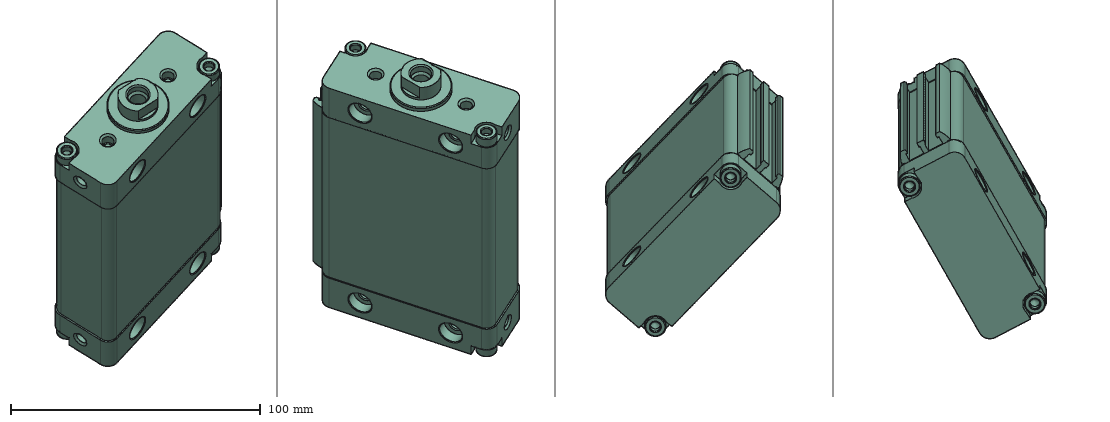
import cadquery as cq
import math


total_height = 135.0
overall_depth = 82.0
cap_height = 16.9
cap_top = 125.8
collar_height = 2.0

cap_width = 30.0
cap_depth = 76.7
corner_radius = 4.7
corner_x = cap_width / 2 - corner_radius
corner_y = cap_depth / 2 - corner_radius
collar_diameter = 25.0
collar_chamfer = 0.4

pocket_diameter = 9.7
pocket_reach = 4.6
pocket_depth = 4.9
head_height = 4.6
head_diameter = 8.5
head_rim_diameter = 7.7
head_chamfer = (head_diameter - head_rim_diameter) / 2
socket_diameter = 4.0
socket_rim_diameter = 4.9
socket_chamfer = (socket_rim_diameter - socket_diameter) / 2
socket_depth = 3.2
drill_point_angle = 118.0

hole_spacing = 40.0
thread_diameter = 4.9
thread_tip_diameter = 4.0
thread_rim_diameter = 6.6
thread_depth = 5.4
cross_hole_inset = 8.5
cross_hole_diameter = 4.9
cross_hole_rim_diameter = 5.8
cross_recess_diameter = 10.0
cross_recess_rim_diameter = 10.7
cross_recess_depth = 4.7

barrel_side_inset = 0.5
barrel_front_inset = 0.7
barrel_height = cap_top - 2 * cap_height
barrel_back = 38.6

rail_top = overall_depth - cap_depth / 2
lip_height = 1.9
middle_head_half = 1.5
middle_stem_half = 1.1
hook_tip_x = 6.8
hook_wall_x = 7.5
hook_crown_x = 8.9
hook_bulge_x = 10.1
hook_bulge_y = 41.5
hook_root_x = 11.1
hook_tip_chamfer = 0.5

rod_diameter = 16.0
flat_width = 13.0
flat_height = 6.0
flat_turn = -15.0
bore_rim_diameter = 9.7
bore_mouth_diameter = 8.5
bore_diameter = 6.6
bore_mouth_depth = 3.5
bore_depth = 10.8


def cone_height(diameter):
    """Height of the pointed end left by a drill of this diameter."""
    return diameter / 2 / math.tan(math.radians(drill_point_angle / 2))


def revolved(points):
    """Solid of revolution about Z from (radius, height) points."""
    return cq.Workplane("XZ").polyline(points).close().revolve(360, (0, 0, 0), (0, 1, 0))


def screw_head():
    """Screw head with a chamfered rim and a pointed socket, its foot at Z = 0."""
    head = cq.Workplane("XY").circle(head_diameter / 2).extrude(head_height)
    head = head.faces(">Z").chamfer(head_chamfer)
    socket_floor = head_height - socket_depth
    socket = revolved([
        (0, socket_floor - cone_height(socket_diameter)),
        (socket_diameter / 2, socket_floor),
        (socket_diameter / 2, head_height - socket_chamfer),
        (socket_rim_diameter / 2, head_height),
        (0, head_height),
    ])
    return head.cut(socket)


def corner_pocket():
    """Round pocket about a corner centre, opened squarely to +X and +Y, its floor at Z = 0."""
    pocket = cq.Workplane("XY").circle(pocket_diameter / 2).extrude(pocket_depth)
    opening = (
        cq.Workplane("XY")
        .moveTo(-pocket_reach, 0)
        .lineTo(0, -pocket_reach)
        .lineTo(corner_radius, -pocket_reach)
        .lineTo(corner_radius, corner_radius)
        .lineTo(-pocket_reach, corner_radius)
        .close()
        .extrude(pocket_depth)
    )
    return pocket.union(opening)


def threaded_hole():
    """Blind hole entered downwards at Z = 0, with a countersunk rim."""
    rim_depth = (thread_rim_diameter - thread_diameter) / 2
    tip_depth = (thread_diameter - thread_tip_diameter) / 2
    return revolved([
        (0, -thread_depth),
        (thread_tip_diameter / 2, -thread_depth),
        (thread_diameter / 2, tip_depth - thread_depth),
        (thread_diameter / 2, -rim_depth),
        (thread_rim_diameter / 2, 0),
        (0, 0),
    ])


def cross_hole():
    """Hole through the width of a cap along X, recessed and chamfered from both sides."""
    half_width = cap_width / 2
    floor = half_width - cross_recess_depth
    rim_depth = (cross_recess_rim_diameter - cross_recess_diameter) / 2
    floor_rim_depth = (cross_hole_rim_diameter - cross_hole_diameter) / 2
    side = revolved([
        (0, 0),
        (cross_hole_diameter / 2, 0),
        (cross_hole_diameter / 2, floor - floor_rim_depth),
        (cross_hole_rim_diameter / 2, floor),
        (cross_recess_diameter / 2, floor),
        (cross_recess_diameter / 2, half_width - rim_depth),
        (cross_recess_rim_diameter / 2, half_width),
        (0, half_width),
    ]).rotate((0, 0, 0), (0, 1, 0), 90)
    return side.union(side.mirror("YZ"))


def end_cap():
    """Cap with its outer face up at Z = cap_height, with pockets, screw heads and side holes."""
    cap = cq.Workplane("XY").rect(cap_width, cap_depth).extrude(cap_height)
    cap = cap.edges("|Z").fillet(corner_radius)
    pocket_floor = cap_height - pocket_depth
    for turn, sign in ((0, 1), (180, -1)):
        place = (sign * corner_x, sign * corner_y, pocket_floor)
        pocket = corner_pocket().rotate((0, 0, 0), (0, 0, 1), turn)
        cap = cap.cut(pocket.translate(place)).union(screw_head().translate(place))
    hole_height = cap_height - cross_hole_inset
    for y in (-hole_spacing / 2, hole_spacing / 2):
        cap = cap.cut(cross_hole().translate((0, y, hole_height)))
    port = threaded_hole().rotate((0, 0, 0), (1, 0, 0), 90)
    return cap.cut(port.translate((0, -cap_depth / 2, hole_height)))


def upper_cap():
    """Cap with the rod guide collar, two threaded holes and the hole for the rod."""
    cap = end_cap()
    for y in (-hole_spacing / 2, hole_spacing / 2):
        cap = cap.cut(threaded_hole().translate((0, y, cap_height)))
    collar = cq.Workplane("XY").circle(collar_diameter / 2).extrude(collar_height)
    collar = collar.faces(">Z").chamfer(collar_chamfer)
    cap = cap.union(collar.translate((0, 0, cap_height)))
    rod_hole = cq.Workplane("XY").circle(rod_diameter / 2).extrude(cap_height + collar_height)
    return cap.cut(rod_hole).translate((0, 0, cap_top - cap_height))


def lower_cap():
    """Plain cap mirrored top to bottom, so that its outer face lies on Z = 0."""
    return end_cap().mirror("XY").translate((0, 0, cap_height))


def rail_hook():
    """Hooked bar on the +X side of the rail."""
    lip_y = rail_top - lip_height
    return (
        cq.Workplane("XY")
        .moveTo(hook_root_x, barrel_back)
        .threePointArc((hook_bulge_x, hook_bulge_y), (hook_crown_x, rail_top))
        .lineTo(hook_tip_x + hook_tip_chamfer, rail_top)
        .lineTo(hook_tip_x, rail_top - hook_tip_chamfer)
        .lineTo(hook_tip_x, lip_y)
        .lineTo(hook_wall_x, lip_y)
        .lineTo(hook_wall_x, barrel_back)
        .close()
        .extrude(barrel_height)
    )


def rail_middle_bar():
    """T-shaped bar in the middle of the rail."""
    stem = cq.Workplane("XY").rect(2 * middle_stem_half, rail_top - barrel_back).extrude(barrel_height)
    stem = stem.translate((0, (rail_top + barrel_back) / 2, 0))
    head = cq.Workplane("XY").rect(2 * middle_head_half, lip_height).extrude(barrel_height)
    return stem.union(head.translate((0, rail_top - lip_height / 2, 0)))


def barrel_body():
    """Rounded barrel between the caps, with the mounting rail along its back."""
    barrel_front = -cap_depth / 2 + barrel_front_inset
    tube = (
        cq.Workplane("XY")
        .rect(cap_width - 2 * barrel_side_inset, barrel_back - barrel_front)
        .extrude(barrel_height)
        .edges("|Z and <Y")
        .fillet(corner_radius - barrel_side_inset)
        .edges("|Z and >Y")
        .fillet(corner_radius)
        .translate((0, (barrel_back + barrel_front) / 2, 0))
    )
    hook = rail_hook()
    tube = tube.union(hook).union(hook.mirror("YZ")).union(rail_middle_bar())
    return tube.translate((0, 0, cap_height))


def piston_rod():
    """Rod end through the upper cap, with two wrench flats and a stepped bore."""
    rod_foot = cap_top - cap_height
    rod = cq.Workplane("XY").circle(rod_diameter / 2).extrude(total_height - rod_foot)
    rod = rod.translate((0, 0, rod_foot))
    between_flats = cq.Workplane("XY").rect(flat_width, 2 * rod_diameter).extrude(flat_height)
    ring = cq.Workplane("XY").circle(rod_diameter).extrude(flat_height).cut(between_flats)
    ring = ring.rotate((0, 0, 0), (0, 0, 1), flat_turn)
    rod = rod.cut(ring.translate((0, 0, total_height - flat_height)))
    rim_depth = (bore_rim_diameter - bore_mouth_diameter) / 2
    step_depth = (bore_mouth_diameter - bore_diameter) / 2
    bore = revolved([
        (0, total_height - bore_depth - cone_height(bore_diameter)),
        (bore_diameter / 2, total_height - bore_depth),
        (bore_diameter / 2, total_height - bore_mouth_depth - step_depth),
        (bore_mouth_diameter / 2, total_height - bore_mouth_depth),
        (bore_mouth_diameter / 2, total_height - rim_depth),
        (bore_rim_diameter / 2, total_height),
        (0, total_height),
    ])
    return rod.cut(bore)


result = cq.Compound.makeCompound([
    upper_cap().val(),
    lower_cap().val(),
    barrel_body().val(),
    piston_rod().val(),
])